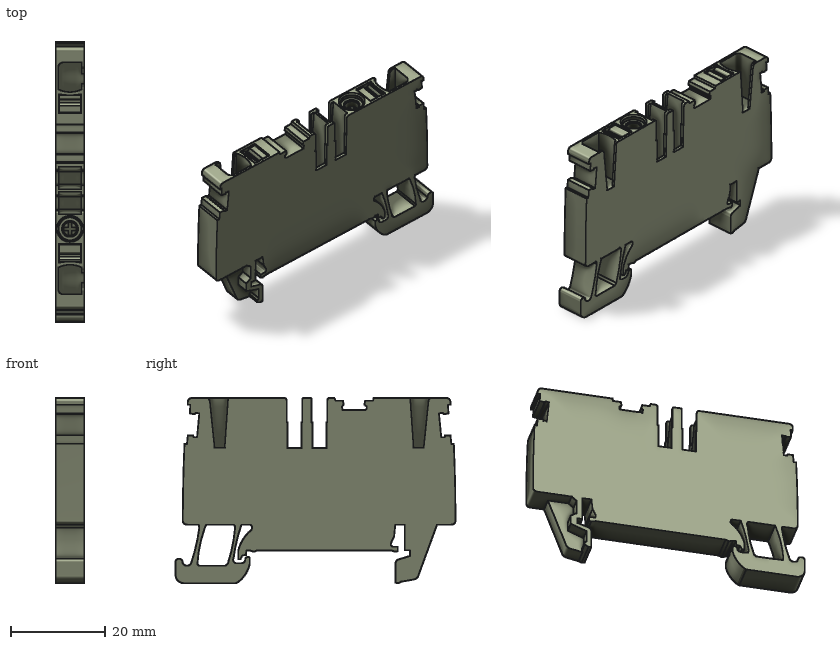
import cadquery as cq

THICKNESS = 6.1
HEIGHT = 39.4
HOUSING_MID_Y = 30.5
HOUSING_HALF_LENGTH = 29.0
HOUSING_BOTTOM_Z = 12.45
HOUSING_EDGE_RADIUS = 0.9
END_LIP = 27.9
END_LIP_RADIUS = 0.95
RAIL_Z = 6.95
OVERLAP = 0.6

SLOT_FLOOR_Z = 28.75
SLOT_LEDGE_Z = 34.15
SLOT_LEDGE = 0.2
SLOT_OUTER_RADIUS = 0.6
SLOT_FIN_RADIUS = 0.35
SLOT_WIDTH = 3.3
SLOT_1_Y = 30.6
SLOT_2_Y = 25.3
SLOT_RIM = 0.7
RECESS_MOUTH_WIDTH = 4.75
RECESS_FLOOR_WIDTH = 2.6
RECESS_FLOOR_Z = 25.15

ENTRY_OUTER = 24.6
ENTRY_INNER = 18.9
ENTRY_BULGE = 0.6
ENTRY_WALL = 0.55
ENTRY_CORNER_RADIUS = 1.15
ENTRY_FLOOR_Z = SLOT_FLOOR_Z
MOUTH_FLOOR_OUTER = 22.2
MOUTH_FLOOR_INNER = 20.05
MOUTH_TOP_OUTER = 23.2
MOUTH_TOP_INNER = 19.35
MOUTH_OUTER_RADIUS = 0.85
MOUTH_INNER_RADIUS = 0.3

BUTTON_OUTER = 17.9
BUTTON_INNER = 13.85
BUTTON_BULGE = 0.25
BUTTON_WALL = 0.65
BUTTON_GAP = 0.2
BUTTON_WELL_DEPTH = 1.5
BUTTON_DROP = 0.25
BUTTON_GROOVE_DEPTH = 0.6
BUTTON_GROOVE_FLOOR = 0.6
BUTTON_END_FLAT = 0.65

SCREW_Y = 19.8
SCREW_WELL_RADIUS = 2.45
SCREW_WELL_CHAMFER = 0.35
SCREW_WELL_DEPTH = 1.1
SCREW_HOLE_RADIUS = 1.5
SCREW_HOLE_CHAMFER = 0.25
SCREW_HOLE_DEPTH = 1.8
CROSS_LENGTH = 2.75
CROSS_WIDTH = 0.8
CROSS_DEPTH = 0.9

WEB_START_X = 2.7


def sketch(y, z):
    """Start an outline in the Y-Z plane."""
    return cq.Workplane("YZ").moveTo(y, z)


def plate(outline):
    """Close an outline and extrude it over the whole thickness."""
    return outline.close().extrude(THICKNESS)


def mirrored(half):
    """Copy a feature modelled about Y = 0 to both ends of the housing."""
    other = half.mirror("XZ")
    return half.union(other).translate((0, HOUSING_MID_Y, 0))


def housing():
    """Main housing: one half outline with its end notch, mirrored."""
    half = plate(
        sketch(0, HOUSING_BOTTOM_Z)
        .lineTo(HOUSING_HALF_LENGTH - HOUSING_EDGE_RADIUS, HOUSING_BOTTOM_Z)
        .radiusArc(
            (HOUSING_HALF_LENGTH, HOUSING_BOTTOM_Z + HOUSING_EDGE_RADIUS), -HOUSING_EDGE_RADIUS)
        .tangentArcPoint((28.6, 29.6), relative=False)
        .lineTo(28.1, 29.6)
        .lineTo(27.9, 31.4)
        .lineTo(26.7, 31.4)
        .lineTo(26.65, 31.05)
        .lineTo(25.95, 31.05)
        .lineTo(25.45, 36.05)
        .lineTo(26.25, 36.15)
        .lineTo(26.4, 35.9)
        .lineTo(27.5, 36.05)
        .lineTo(27.35, 37.9)
        .lineTo(END_LIP, 37.9)
        .lineTo(END_LIP, HEIGHT - END_LIP_RADIUS)
        .radiusArc((END_LIP - END_LIP_RADIUS, HEIGHT), -END_LIP_RADIUS)
        .lineTo(0, HEIGHT)
    )
    return mirrored(half)


def marker_groove():
    """Undercut groove in the top face that holds a marker strip."""
    step_z = 38.8
    lip_z = 37.95
    floor_z = 36.8
    return plate(
        sketch(42.05, HEIGHT)
        .lineTo(41.95, step_z)
        .lineTo(40.3, step_z)
        .lineTo(40.1, lip_z)
        .lineTo(40.6, 37.55)
        .lineTo(40.6, 37.05)
        .lineTo(40.35, floor_z)
        .lineTo(35.5, floor_z)
        .lineTo(35.4, 37.55)
        .lineTo(35.75, lip_z)
        .lineTo(35.6, step_z)
        .lineTo(34.0, step_z)
        .lineTo(33.75, HEIGHT)
    )


def slot():
    """Stepped slot with tapered recesses in both faces; the middle fin is on its -Y side."""
    upper = SLOT_WIDTH / 2
    lower = upper - SLOT_LEDGE
    through = plate(
        sketch(-upper - SLOT_FIN_RADIUS, HEIGHT)
        .radiusArc((-upper, HEIGHT - SLOT_FIN_RADIUS), SLOT_FIN_RADIUS)
        .lineTo(-upper, SLOT_LEDGE_Z)
        .lineTo(-lower, SLOT_LEDGE_Z)
        .lineTo(-lower, SLOT_FLOOR_Z)
        .lineTo(lower, SLOT_FLOOR_Z)
        .lineTo(lower, SLOT_LEDGE_Z)
        .lineTo(upper, SLOT_LEDGE_Z)
        .lineTo(upper, HEIGHT - SLOT_OUTER_RADIUS)
        .radiusArc((upper + SLOT_OUTER_RADIUS, HEIGHT), SLOT_OUTER_RADIUS)
    )
    recess = (
        sketch(-RECESS_MOUTH_WIDTH / 2, HEIGHT)
        .lineTo(-RECESS_FLOOR_WIDTH / 2, RECESS_FLOOR_Z)
        .lineTo(RECESS_FLOOR_WIDTH / 2, RECESS_FLOOR_Z)
        .lineTo(RECESS_MOUTH_WIDTH / 2, HEIGHT)
        .close()
        .extrude(THICKNESS - 2 * SLOT_RIM)
        .translate((SLOT_RIM, 0, 0))
    )
    return through.union(recess)


def wire_entry():
    """Wire entry pocket with its opening through the +X wall (+Y end)."""
    left = ENTRY_WALL
    right = THICKNESS - ENTRY_WALL
    pocket = (
        cq.Workplane("XY", origin=(0, 0, ENTRY_FLOOR_Z))
        .moveTo(right, ENTRY_INNER)
        .lineTo(right, ENTRY_OUTER)
        .lineTo(left + ENTRY_CORNER_RADIUS, ENTRY_OUTER)
        .radiusArc((left, ENTRY_OUTER - ENTRY_CORNER_RADIUS), -ENTRY_CORNER_RADIUS)
        .lineTo(left, ENTRY_INNER)
        .threePointArc((THICKNESS / 2, ENTRY_INNER - ENTRY_BULGE), (right, ENTRY_INNER))
        .close()
        .extrude(HEIGHT - ENTRY_FLOOR_Z)
    )
    opening = (
        sketch(MOUTH_FLOOR_INNER, ENTRY_FLOOR_Z)
        .lineTo(MOUTH_FLOOR_OUTER, ENTRY_FLOOR_Z)
        .lineTo(MOUTH_TOP_OUTER, HEIGHT - MOUTH_OUTER_RADIUS)
        .radiusArc((MOUTH_TOP_OUTER + MOUTH_OUTER_RADIUS, HEIGHT), MOUTH_OUTER_RADIUS)
        .lineTo(MOUTH_TOP_INNER - MOUTH_INNER_RADIUS, HEIGHT)
        .radiusArc((MOUTH_TOP_INNER, HEIGHT - MOUTH_INNER_RADIUS), MOUTH_INNER_RADIUS)
        .close()
        .extrude(THICKNESS / 2)
        .translate((THICKNESS / 2, 0, 0))
    )
    return pocket.union(opening)


def button_well():
    """Well around a release button; its outer side follows the wire entry."""
    left = BUTTON_WALL
    right = THICKNESS - BUTTON_WALL
    return (
        cq.Workplane("XY", origin=(0, 0, HEIGHT - BUTTON_WELL_DEPTH))
        .moveTo(left, BUTTON_INNER)
        .lineTo(left, BUTTON_OUTER)
        .threePointArc((THICKNESS / 2, BUTTON_OUTER - BUTTON_BULGE), (right, BUTTON_OUTER))
        .lineTo(right, BUTTON_INNER)
        .close()
        .extrude(BUTTON_WELL_DEPTH)
    )


def button(y_start, y_end, groove_start):
    """Release button with a screwdriver groove running down from groove_start."""
    top_z = HEIGHT - BUTTON_DROP
    groove_z = top_z - BUTTON_GROOVE_DEPTH
    crest_end = groove_start - BUTTON_GROOVE_DEPTH
    ramp_start = crest_end - BUTTON_GROOVE_FLOOR
    return (
        sketch(y_start, HEIGHT - BUTTON_WELL_DEPTH)
        .lineTo(y_start, top_z)
        .lineTo(ramp_start - BUTTON_GROOVE_DEPTH, top_z)
        .lineTo(ramp_start, groove_z)
        .lineTo(crest_end, groove_z)
        .radiusArc((groove_start, top_z), BUTTON_GROOVE_DEPTH)
        .lineTo(y_end, top_z)
        .lineTo(y_end, HEIGHT - BUTTON_WELL_DEPTH)
        .close()
        .extrude(THICKNESS - 2 * (BUTTON_WALL + BUTTON_GAP))
        .translate((BUTTON_WALL + BUTTON_GAP, 0, 0))
    )


def buttons():
    """Both release buttons; their grooves face the same way."""
    near = BUTTON_INNER + BUTTON_GAP
    far = BUTTON_OUTER - BUTTON_BULGE
    groove_length = 2 * BUTTON_GROOVE_DEPTH + BUTTON_GROOVE_FLOOR
    plus_groove = BUTTON_OUTER - BUTTON_END_FLAT
    minus_groove = -plus_groove + groove_length
    pair = button(near, far, plus_groove).union(button(-far, -near, minus_groove))
    return pair.translate((0, HOUSING_MID_Y, 0))


def screw_well():
    """Chamfered well, inner hole and cross recess of the test screw."""
    well_z = HEIGHT - SCREW_WELL_DEPTH
    hole_z = well_z - SCREW_HOLE_DEPTH
    well = (
        cq.Workplane("XZ")
        .moveTo(0, hole_z)
        .lineTo(SCREW_HOLE_RADIUS, hole_z)
        .lineTo(SCREW_HOLE_RADIUS, well_z - SCREW_HOLE_CHAMFER)
        .lineTo(SCREW_HOLE_RADIUS + SCREW_HOLE_CHAMFER, well_z)
        .lineTo(SCREW_WELL_RADIUS, well_z)
        .lineTo(SCREW_WELL_RADIUS, HEIGHT - SCREW_WELL_CHAMFER)
        .lineTo(SCREW_WELL_RADIUS + SCREW_WELL_CHAMFER, HEIGHT)
        .lineTo(0, HEIGHT)
        .close()
        .revolve(360, (0, 0), (0, 1))
    )
    for arm_x, arm_y in ((CROSS_LENGTH, CROSS_WIDTH), (CROSS_WIDTH, CROSS_LENGTH)):
        arm = (
            cq.Workplane("XY", origin=(0, 0, hole_z - CROSS_DEPTH))
            .rect(arm_x, arm_y)
            .extrude(CROSS_DEPTH)
        )
        well = well.union(arm)
    return well.translate((THICKNESS / 2, SCREW_Y, 0))


def rail_block():
    """Middle block on the rail, with a hook nose at each end."""
    bump_z = 6.65
    return plate(
        sketch(46.7, HOUSING_BOTTOM_Z + OVERLAP)
        .lineTo(46.7, HOUSING_BOTTOM_Z)
        .lineTo(46.45, 10.0)
        .lineTo(45.8, 8.55)
        .threePointArc((45.8, 8.05), (46.2, 7.8))
        .lineTo(47.25, 7.8)
        .lineTo(47.25, 6.85)
        .lineTo(46.75, bump_z)
        .lineTo(45.8, RAIL_Z)
        .lineTo(17.4, RAIL_Z)
        .lineTo(16.65, bump_z)
        .lineTo(15.75, RAIL_Z)
        .lineTo(15.1, RAIL_Z)
        .lineTo(15.0, 6.0)
        .lineTo(14.2, 5.9)
        .lineTo(13.8, 5.05)
        .lineTo(13.3, 5.05)
        .lineTo(13.3, RAIL_Z)
        .threePointArc((14.15, 9.05), (16.05, 11.3))
        .threePointArc((16.25, 11.9), (15.95, HOUSING_BOTTOM_Z))
        .lineTo(15.95, HOUSING_BOTTOM_Z + OVERLAP)
    )


def clip_foot():
    """Cranked clip foot at the +Y end."""
    return plate(
        sketch(48.65, HOUSING_BOTTOM_Z + OVERLAP)
        .lineTo(51.05, HOUSING_BOTTOM_Z + OVERLAP)
        .lineTo(51.05, HOUSING_BOTTOM_Z)
        .lineTo(50.0, 11.5)
        .lineTo(50.0, 8.3)
        .lineTo(51.2, 7.45)
        .lineTo(51.2, 5.35)
        .lineTo(47.8, 4.0)
        .lineTo(47.8, 1.4)
        .lineTo(48.2, 1.0)
        .lineTo(48.2, 0.5)
        .lineTo(47.35, 0)
        .lineTo(46.7, 0.1)
        .lineTo(46.7, 4.15)
        .threePointArc((46.9, 4.7), (47.3, 5.05))
        .lineTo(49.8, 5.85)
        .lineTo(49.8, 7.0)
        .lineTo(48.65, 7.0)
    )


def clip_web():
    """Set-back web that stiffens the clip foot."""
    return (
        sketch(55.55, HOUSING_BOTTOM_Z + OVERLAP)
        .lineTo(55.55, HOUSING_BOTTOM_Z)
        .lineTo(51.7, 1.9)
        .threePointArc((51.4, 1.25), (50.8, 0.85))
        .lineTo(48.2, 0.35)
        .lineTo(47.35, 0.35)
        .lineTo(47.35, 4.6)
        .lineTo(50.25, 5.95)
        .lineTo(50.25, 7.0)
        .lineTo(49.4, 7.45)
        .lineTo(49.4, HOUSING_BOTTOM_Z + OVERLAP)
        .close()
        .extrude(THICKNESS - WEB_START_X)
        .translate((WEB_START_X, 0, 0))
    )


def spring_foot():
    """Sprung foot at the -Y end: two bowed legs carrying a hooked base."""
    foot = plate(
        sketch(14.05, HOUSING_BOTTOM_Z + OVERLAP)
        .lineTo(14.05, HOUSING_BOTTOM_Z)
        .threePointArc((12.95, 8.7), (12.4, 5.35))
        .threePointArc((12.4, 4.65), (12.85, 4.3))
        .lineTo(14.1, 4.3)
        .threePointArc((14.65, 4.6), (14.8, 5.1))
        .threePointArc((15.15, 5.6), (15.8, 5.4))
        .lineTo(15.8, 4.1)
        .threePointArc((14.9, 1.9), (13.3, 0.25))
        .lineTo(12.85, 0)
        .lineTo(1.8, 0)
        .threePointArc((0.5, 0.6), (0, 1.7))
        .lineTo(0, 4.65)
        .threePointArc((0.7, 5.25), (1.55, 4.4))
        .threePointArc((2.5, 3.75), (3.35, 4.3))
        .threePointArc((4.35, 7.85), (5.05, 11.8))
        .lineTo(4.95, HOUSING_BOTTOM_Z)
        .lineTo(4.95, HOUSING_BOTTOM_Z + OVERLAP)
    )
    window = plate(
        sketch(12.45, HOUSING_BOTTOM_Z)
        .lineTo(12.7, 12.0)
        .threePointArc((12.15, 8.15), (11.1, 4.2))
        .lineTo(10.65, 3.75)
        .lineTo(5.0, 3.75)
        .lineTo(4.7, 4.1)
        .threePointArc((5.2, 7.85), (6.3, 11.9))
        .lineTo(6.55, HOUSING_BOTTOM_Z)
    )
    return foot.cut(window)


result = (
    housing()
    .cut(marker_groove())
    .cut(slot().translate((0, SLOT_1_Y, 0)))
    .cut(slot().mirror("XZ").translate((0, SLOT_2_Y, 0)))
    .cut(mirrored(wire_entry()))
    .cut(mirrored(button_well()))
    .union(buttons())
    .cut(screw_well())
)
for lower_part in (rail_block(), clip_foot(), clip_web(), spring_foot()):
    result = result.union(lower_part)